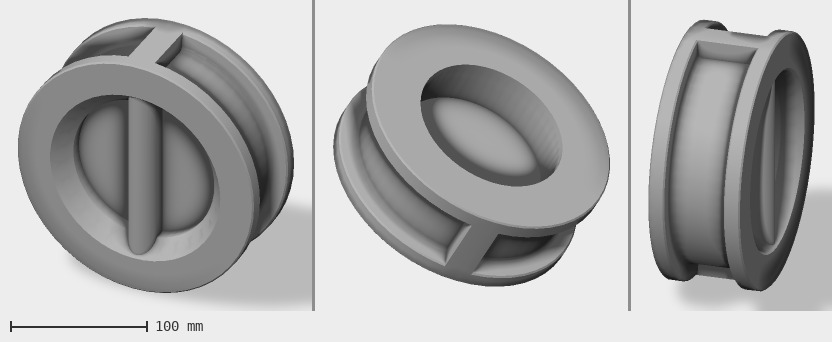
import cadquery as cq
import math

body_diameter = 192.0
body_length = 70.0
hub_radius = 82.0
flange_rim_length = 12.3
edge_chamfer = 1.2
flange_root_length = 13.5
root_fillet = 3.8

mouth_radius = 69.1
throat_radius = 57.2
cone_depth = 14.5

rib_width = 21.3
rib_nose_setback = 2.3

plate_setback = 24.0
plate_thickness = 7.7

body_radius = body_diameter / 2
half_length = body_length / 2
front_y = -half_length
throat_y = front_y + cone_depth
plate_front_y = front_y + plate_setback


def disc(radius, start_y, length):
    """Cylinder along Y, from start_y toward +Y."""
    return cq.Workplane("XZ", origin=(0, start_y, 0)).circle(radius).extrude(-length)


def revolve_about_y(profile):
    return profile.close().revolve(360, (0, 0, 0), (0, 1, 0))


def make_groove():
    """Ring groove between the flanges, with chamfered lips and drafted walls."""
    lip_y = half_length - flange_rim_length
    root_y = half_length - flange_root_length
    lip_radius = body_radius - edge_chamfer
    draft_angle = math.atan2(lip_y - root_y, lip_radius - hub_radius)
    tangent_length = root_fillet / math.tan((math.pi / 2 + draft_angle) / 2)
    wall_tangent = (
        hub_radius + tangent_length * math.cos(draft_angle),
        root_y + tangent_length * math.sin(draft_angle),
    )
    hub_tangent_y = root_y - tangent_length
    center = (hub_radius + root_fillet, hub_tangent_y)
    mid_angle = (math.pi + math.pi / 2 + draft_angle) / 2
    fillet_mid = (
        center[0] + root_fillet * math.cos(mid_angle),
        center[1] + root_fillet * math.sin(mid_angle),
    )
    upper_half = (
        cq.Workplane("XY")
        .moveTo(hub_radius, 0)
        .lineTo(hub_radius, hub_tangent_y)
        .threePointArc(fillet_mid, wall_tangent)
        .lineTo(lip_radius, lip_y)
        .lineTo(body_radius, lip_y + edge_chamfer)
        .lineTo(body_radius, 0)
    )
    groove_half = revolve_about_y(upper_half)
    return groove_half.union(groove_half.mirror("XZ"))


def make_bridge_bar():
    """Bar that interrupts the groove, leaving bridges at top and bottom."""
    return cq.Workplane("XY").box(rib_width, body_length, body_diameter)


def make_flow_passage():
    cone = revolve_about_y(
        cq.Workplane("XY")
        .moveTo(0, front_y)
        .lineTo(mouth_radius, front_y)
        .lineTo(throat_radius, throat_y)
        .lineTo(0, throat_y)
    )
    return cone.union(disc(throat_radius, throat_y, half_length - throat_y))


def make_rib():
    """Round-nosed bar across the passage, ending flat against the plates."""
    half_width = rib_width / 2
    nose_y = front_y + rib_nose_setback
    flank_y = nose_y + half_width
    half_height = (mouth_radius + hub_radius) / 2
    return (
        cq.Workplane("XY", origin=(0, 0, -half_height))
        .moveTo(-half_width, plate_front_y)
        .lineTo(-half_width, flank_y)
        .threePointArc((0, nose_y), (half_width, flank_y))
        .lineTo(half_width, plate_front_y)
        .close()
        .extrude(2 * half_height)
    )


def make_body():
    blank = disc(body_radius, front_y, body_length).faces("<Y or >Y").edges().chamfer(edge_chamfer)
    groove = make_groove().cut(make_bridge_bar())
    return blank.cut(groove).cut(make_flow_passage()).union(make_rib())


def make_plate(side):
    """Half-disc plate on the -X side (side = -1) or the +X side (side = 1)."""
    half_space = cq.Workplane("XY").center(side * body_radius / 2, 0).box(
        body_radius, body_length, body_diameter
    )
    return disc(throat_radius, plate_front_y, plate_thickness).intersect(half_space)


body = make_body().solids().val()
plates = [make_plate(side).solids().val() for side in (-1, 1)]

result = cq.Compound.makeCompound([body, *plates])